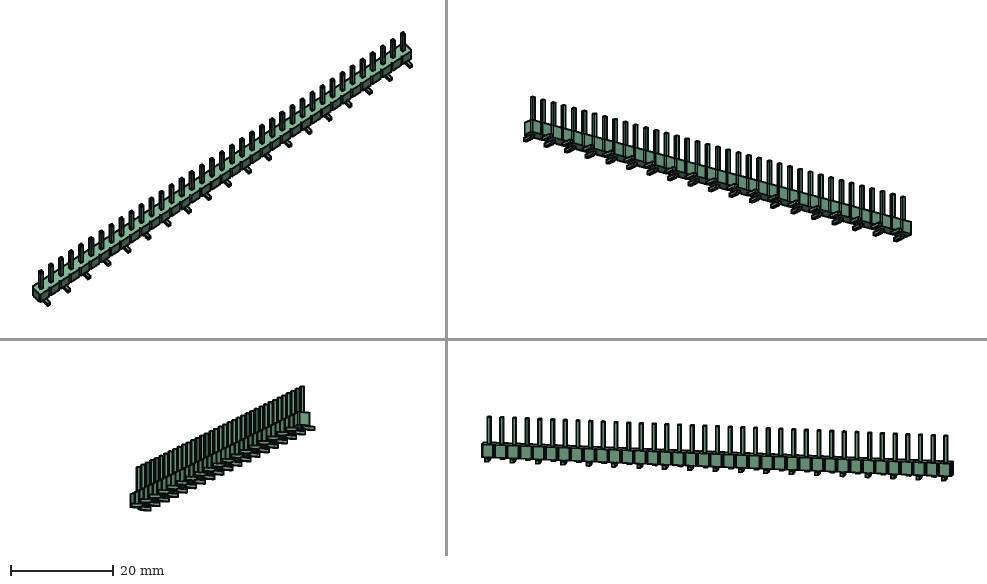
import cadquery as cq

strip_length = 94.0
pin_count = 37
foot_span = 5.0
overall_height = 8.55

cell_pitch = strip_length / pin_count
strip_width = 2.5
strip_height = 2.5
groove_depth = 0.3
groove_width = 0.5

pin_size = 0.64
tip_chamfer = 0.11
bend_radius = 1.2

strip_bottom = pin_size


def make_cell():
    """One block of the strip; its cut corners form V grooves between neighbours."""
    block = (
        cq.Workplane("XY", origin=(0, 0, strip_bottom))
        .rect(strip_width, cell_pitch)
        .extrude(strip_height)
    )
    corner_cut = (
        cq.Workplane("XY", origin=(strip_width / 2, cell_pitch / 2, strip_bottom))
        .polyline([(0, 0), (-groove_depth, 0), (0, -groove_width / 2)])
        .close()
        .extrude(strip_height)
    )
    corner_cuts = corner_cut.union(corner_cut.mirror("YZ"))
    return block.cut(corner_cuts).cut(corner_cuts.mirror("XZ"))


def make_pin():
    """Upright square pin with a tapered tip and a foot bent toward +X."""
    half = pin_size / 2
    profile = (
        cq.Workplane("XZ")
        .moveTo(-half, overall_height)
        .lineTo(-half, bend_radius)
        .radiusArc((bend_radius - half, 0), -bend_radius)
        .lineTo(foot_span / 2, 0)
        .lineTo(foot_span / 2, pin_size)
        .lineTo(half, pin_size)
        .lineTo(half, overall_height)
        .close()
    )
    pin = profile.extrude(half, both=True)
    return pin.faces(">Z").chamfer(tip_chamfer)


cell = make_cell()
pin = make_pin()
right_footed_cell = cell.union(pin)
left_footed_cell = cell.union(pin.mirror("YZ"))

result = cq.Workplane("XY")
for index in range(pin_count):
    y = (index + 0.5) * cell_pitch - strip_length / 2
    footed_cell = right_footed_cell if index % 2 == 0 else left_footed_cell
    result = result.union(footed_cell.translate((0, y, 0)))